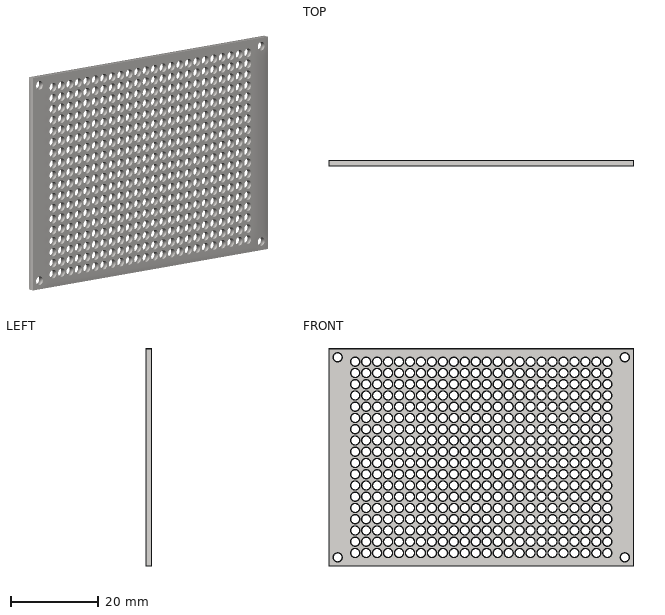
import cadquery as cq

board_length = 70.0
board_thickness = 1.3
board_height = 50.0

hole_diameter = 2.0

mounting_spacing_x = 66.0
mounting_spacing_z = 46.0

grid_columns = 24
grid_rows = 18
grid_span_x = 57.95
grid_span_z = 43.95
grid_pitch_x = grid_span_x / (grid_columns - 1)
grid_pitch_z = grid_span_z / (grid_rows - 1)


def make_board():
    """Plain rectangular board without holes."""
    return cq.Workplane("XY").box(board_length, board_thickness, board_height)


def hole_array(pitch_x, pitch_z, columns, rows):
    """Pins through the full thickness, in a centred rectangular array."""
    return (
        cq.Workplane("XZ", origin=(0, board_thickness / 2, 0))
        .rarray(pitch_x, pitch_z, columns, rows)
        .circle(hole_diameter / 2)
        .extrude(board_thickness)
    )


mounting_holes = hole_array(mounting_spacing_x, mounting_spacing_z, 2, 2)
grid_holes = hole_array(grid_pitch_x, grid_pitch_z, grid_columns, grid_rows)

result = make_board().cut(mounting_holes).cut(grid_holes)